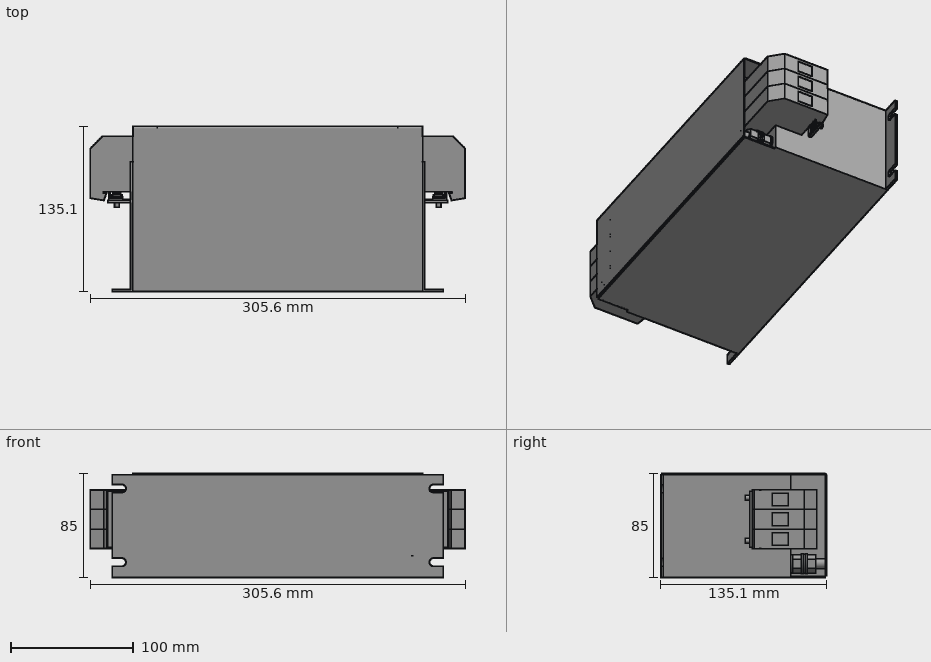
import cadquery as cq
import math

body_length = 236.0
body_depth = 135.1
total_height = 85.0
lid_sheet = 1.0
lid_front_gap = 0.7
lid_bottom_gap = 1.5
lid_bend_radius = 2.0
case_height = total_height - lid_sheet
half_body = body_length / 2

plate_length = 270.0
plate_sheet = 2.0
side_wall_depth = 106.0
half_plate = plate_length / 2
side_wall_outer = half_body + plate_sheet

slot_width = 6.5
slot_center_x = 127.0
slot_heights = (12.6, 72.6)

bay_end_x = 98.0
bay_floor = 1.0

pole_count = 3
pole_pitch = 16.0
pole_gap = 0.06
terminal_mid_z = 47.6
terminal_outer_x = 152.8
terminal_root_x = bay_end_x - 2.0
terminal_back_y = 127.0
terminal_seat_y = 81.5
terminal_chamfer = 10.2
foot_outer_y = 76.3
foot_tip_y = 74.4
foot_tip_x = 141.6
foot_top_inner_x = 139.5
undercut_x = 142.0
undercut_height = 1.0
terminal_height = pole_count * pole_pitch
terminal_bottom_z = terminal_mid_z - terminal_height / 2

window_depth_y = 13.0
window_height = 10.3
window_mid_y = 97.3
window_recess = 0.3

bracket_outer_x = 138.6
bracket_height = 45.5
bracket_front_y = 72.6
bracket_sheet = 2.0
shim_sheet = 0.8
clip_sheet = 1.0
clip_height = 43.5
clip_outer_x = 137.8
clip_inner_x = 126.2
clip_leg_width = 1.5
shim_y = bracket_front_y + bracket_sheet
clip_y = shim_y + shim_sheet
screw_seat_y = clip_y + clip_sheet

screw_x = 131.1
screw_spacing = 35.0
screw_diameter = 4.0
screw_tip_y = 68.8
screw_washer_diameter = 9.5
screw_washer_thickness = 1.0
screw_collar_diameter = 8.6
screw_collar_thickness = 1.6
screw_head_diameter = 6.4
screw_head_thickness = 1.2

stud_x = 108.0
stud_z = 11.3
stud_diameter = 8.0
nut_across_flats = 13.0
nut_thickness = 6.9
washer_diameter = 16.0
washer_thickness = 1.7
washer_count = 3
middle_washer_diameter = washer_diameter - 0.6
end_washer_diameter = 15.0
end_washer_thickness = 1.4
front_nut_y = side_wall_depth + end_washer_thickness
washer_stack_y = front_nut_y + nut_thickness
back_nut_y = washer_stack_y + washer_count * washer_thickness


def block(x_range, y_range, z_range):
    """Box between the given limits."""
    size = [limits[1] - limits[0] for limits in (x_range, y_range, z_range)]
    corner = (x_range[0], y_range[0], z_range[0])
    return cq.Workplane("XY").box(*size, centered=False).translate(corner)


def disc_along_y(x, y, z, diameter, length):
    """Round bar that starts at y and runs toward +Y."""
    return cq.Workplane("XZ", origin=(x, y, z)).circle(diameter / 2).extrude(-length)


def hex_nut(x, y, z):
    """Hexagonal nut along Y, with two corners pointing up and down."""
    across_corners = nut_across_flats / math.cos(math.pi / 6)
    profile = cq.Workplane("XZ", origin=(x, y, z)).transformed(rotate=(0, 0, 90))
    return profile.polygon(6, across_corners).extrude(-nut_thickness)


def both_ends(shape):
    """Shape built on the -X end together with its mirror image on the +X end."""
    return shape.union(shape.mirror("YZ"))


def make_case():
    back_y = body_depth - lid_sheet
    case = block((-half_body, half_body), (0, back_y), (0, case_height))
    bay = block((-half_body, -bay_end_x), (side_wall_depth, back_y), (bay_floor, case_height))
    return case.cut(both_ends(bay))


def make_lid():
    x_range = (-half_body, half_body)
    shell = block(x_range, (lid_front_gap, body_depth), (lid_bottom_gap, total_height))
    shell = shell.edges("|X and >Y and >Z").fillet(lid_bend_radius)
    inside = block(x_range, (0, body_depth - lid_sheet), (0, case_height))
    inside = inside.edges("|X and >Y and >Z").fillet(lid_bend_radius - lid_sheet)
    return shell.cut(inside)


def make_mounting_plate():
    plate = block((-half_plate, half_plate), (0, plate_sheet), (0, case_height))
    side_wall = block((-side_wall_outer, -half_body), (0, side_wall_depth), (0, case_height))
    plate = plate.union(both_ends(side_wall))
    for z in slot_heights:
        slot_end = disc_along_y(-slot_center_x, 0, z, slot_width, plate_sheet)
        half_width = slot_width / 2
        slot_mouth = block(
            (-half_plate, -slot_center_x), (0, plate_sheet), (z - half_width, z + half_width)
        )
        plate = plate.cut(both_ends(slot_end.union(slot_mouth)))
    return plate


def make_terminal_pole(bottom_z):
    outline = [
        (-terminal_root_x, terminal_back_y),
        (-terminal_outer_x + terminal_chamfer, terminal_back_y),
        (-terminal_outer_x, terminal_back_y - terminal_chamfer),
        (-terminal_outer_x, foot_outer_y),
        (-foot_tip_x, foot_tip_y),
        (-foot_top_inner_x, terminal_seat_y - undercut_height),
        (-undercut_x, terminal_seat_y - undercut_height),
        (-undercut_x, terminal_seat_y),
        (-terminal_root_x, terminal_seat_y),
    ]
    pole = cq.Workplane("XY", origin=(0, 0, bottom_z + pole_gap / 2))
    pole = pole.polyline(outline).close().extrude(pole_pitch - pole_gap)
    window = cq.Workplane("XY").box(2 * window_recess, window_depth_y, window_height)
    return pole.cut(window.translate((-terminal_outer_x, window_mid_y, bottom_z + pole_pitch / 2)))


def make_terminal():
    terminal = make_terminal_pole(terminal_bottom_z)
    for index in range(1, pole_count):
        terminal = terminal.union(make_terminal_pole(terminal_bottom_z + index * pole_pitch))
    return terminal


def centered_heights(height):
    """Z limits of a part of the given height, level with the middle of the terminal."""
    return (terminal_mid_z - height / 2, terminal_mid_z + height / 2)


def make_bracket():
    clip_heights = centered_heights(clip_height)
    bracket = block(
        (-bracket_outer_x, -half_body), (bracket_front_y, shim_y), centered_heights(bracket_height)
    )
    shim = block((-clip_outer_x, -half_body), (shim_y, clip_y), clip_heights)
    clip_base = block((-clip_outer_x, -clip_inner_x), (clip_y, screw_seat_y), clip_heights)
    clip_leg = block(
        (-clip_outer_x, -clip_outer_x + clip_leg_width), (clip_y, terminal_seat_y), clip_heights
    )
    return bracket.union(shim).union(clip_base).union(clip_leg)


def make_screw(z):
    screw = disc_along_y(-screw_x, screw_tip_y, z, screw_diameter, screw_seat_y - screw_tip_y)
    y = screw_seat_y
    stack = (
        (screw_washer_diameter, screw_washer_thickness),
        (screw_collar_diameter, screw_collar_thickness),
        (screw_head_diameter, screw_head_thickness),
    )
    for diameter, thickness in stack:
        screw = screw.union(disc_along_y(-screw_x, y, z, diameter, thickness))
        y += thickness
    return screw


def make_earth_stud():
    stud_length = body_depth - lid_sheet / 2 - side_wall_depth
    stud = disc_along_y(-stud_x, side_wall_depth, stud_z, stud_diameter, stud_length)
    end_washer = disc_along_y(
        -stud_x, side_wall_depth, stud_z, end_washer_diameter, end_washer_thickness
    )
    stud = stud.union(end_washer)
    for nut_y in (front_nut_y, back_nut_y):
        stud = stud.union(hex_nut(-stud_x, nut_y, stud_z))
    for index in range(washer_count):
        is_middle = index == washer_count // 2
        diameter = middle_washer_diameter if is_middle else washer_diameter
        y = washer_stack_y + index * washer_thickness
        stud = stud.union(disc_along_y(-stud_x, y, stud_z, diameter, washer_thickness))
    return stud


def make_end_fittings():
    fittings = make_terminal().union(make_bracket()).union(make_earth_stud())
    for side in (-1, 1):
        fittings = fittings.union(make_screw(terminal_mid_z + side * screw_spacing / 2))
    return both_ends(fittings)


result = make_case().union(make_lid()).union(make_mounting_plate())
result = result.union(make_end_fittings())